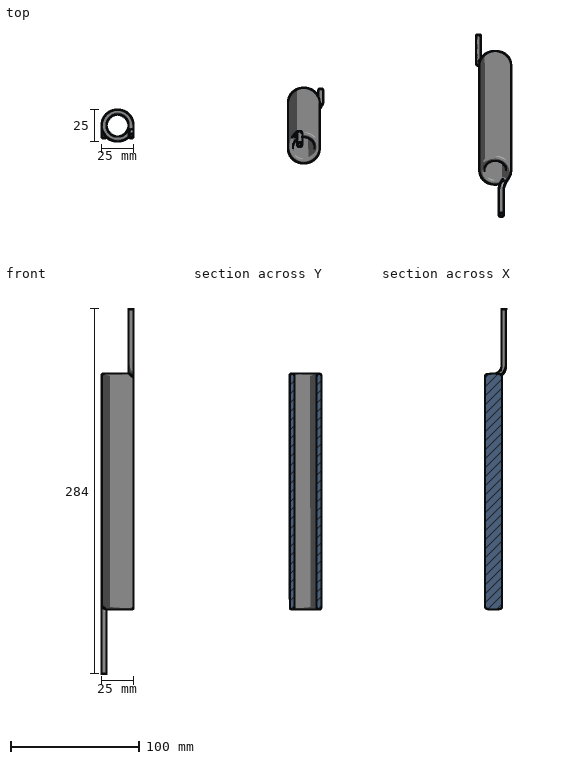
import cadquery as cq

wire_diameter = 4.0
coil_outer_diameter = 25.0
coil_length = 184.0

overall_length = 284.0
bend_radius = 8.0
leg_bore_diameter = 2.6

join_tolerance = 0.01

wire_radius = wire_diameter / 2
coil_outer_radius = coil_outer_diameter / 2
coil_inner_radius = coil_outer_radius - wire_diameter
coil_mean_radius = coil_outer_radius - wire_radius
end_turn_height = coil_length / 2 - wire_radius
leg_start_height = end_turn_height + bend_radius
leg_length = overall_length / 2 - leg_start_height
leg_bore_radius = leg_bore_diameter / 2


def make_coil():
    """Sleeve whose end faces are rounded like the last turn of wire."""
    profile = (
        cq.Workplane("XZ")
        .moveTo(coil_inner_radius, -end_turn_height)
        .lineTo(coil_inner_radius, end_turn_height)
        .threePointArc(
            (coil_mean_radius, end_turn_height + wire_radius),
            (coil_outer_radius, end_turn_height),
        )
        .lineTo(coil_outer_radius, -end_turn_height)
        .threePointArc(
            (coil_mean_radius, -end_turn_height - wire_radius),
            (coil_inner_radius, -end_turn_height),
        )
        .close()
    )
    return profile.revolve(360, (0, 0, 0), (0, 1, 0))


def make_rod(radius):
    """Round rod bent from the upper end turn, heading -Y, into an axial leg on the +X side."""
    bend = (
        cq.Workplane("XZ", origin=(coil_mean_radius, 0, end_turn_height))
        .circle(radius)
        .revolve(90, (0, bend_radius, 0), (-1, bend_radius, 0))
    )
    straight = (
        cq.Workplane("XY", origin=(coil_mean_radius, -bend_radius, leg_start_height))
        .circle(radius)
        .extrude(leg_length)
    )
    return bend.union(straight)


def make_upper_leg():
    """Hollow leg, bored along its whole centreline."""
    return make_rod(wire_radius).cut(make_rod(leg_bore_radius))


upper_leg = make_upper_leg()
lower_leg = upper_leg.rotate((0, 0, 0), (0, 1, 0), 180)

result = (
    make_coil()
    .union(upper_leg, tol=join_tolerance)
    .union(lower_leg, tol=join_tolerance)
)